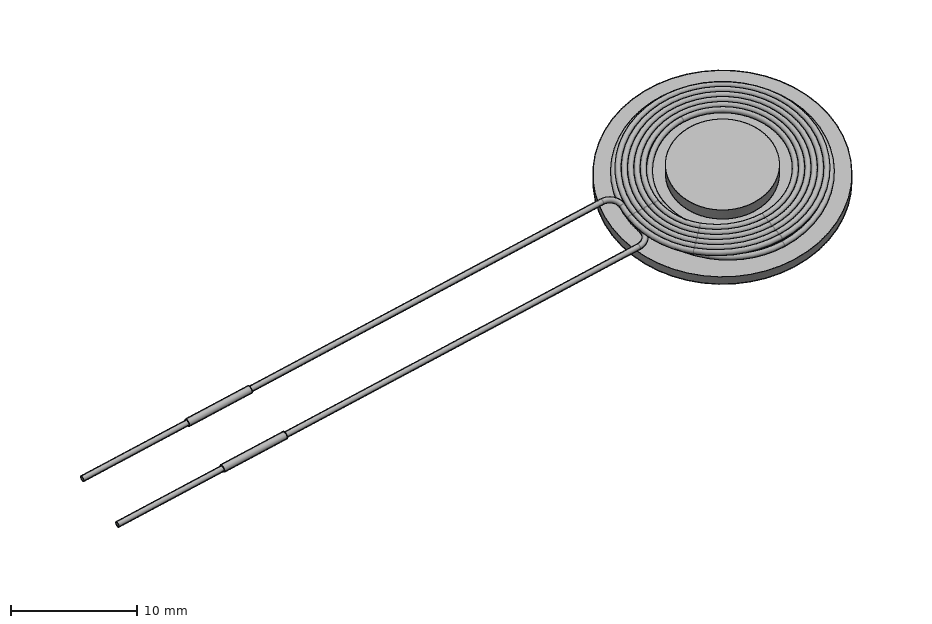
import cadquery as cq
import math

plate_diameter = 20.5
plate_radius = plate_diameter / 2
plate_thickness = 1.0
boss_radius = 4.5
total_height = 2.15

wire_diameter = 0.5
turn_pitch = 0.5
lower_ring_count = 5
upper_ring_count = 6
lower_outer_radius = 8.6
upper_outer_radius = 8.3
lower_inner_radius = lower_outer_radius - (lower_ring_count - 1) * turn_pitch
upper_inner_radius = upper_outer_radius - (upper_ring_count - 1) * turn_pitch
lower_z = plate_thickness + wire_diameter / 2
upper_z = lower_z + turn_pitch

lead_x = 2.5
lead_bend_radius = 1.1
overall_length = 69.5
lead_end_y = plate_radius - overall_length
sleeve_diameter = 0.66
sleeve_length = 6.0
sleeve_to_end = 10.0

PLUS_X = 0
MINUS_Y = -90
MINUS_X = -180
FULL_TURN = 360
CLIMB_STEPS = 6


def polar(radius, angle, z):
    turn = math.radians(angle)
    return cq.Vector(radius * math.cos(turn), radius * math.sin(turn), z)


def ring_arc(radius, z, start, end):
    """Arc about the coil axis from one angle to another."""
    middle = (start + end) / 2
    return cq.Edge.makeThreePointArc(
        polar(radius, start, z), polar(radius, middle, z), polar(radius, end, z)
    )


def quadrant_step(x_radius, y_radius, z):
    """Two tangent arcs from +X clockwise to -Y, square to both axes, meeting halfway."""
    offset = (x_radius - y_radius) / (2 - math.sqrt(2))
    x_centre = cq.Vector(offset, 0, 0)
    y_centre = cq.Vector(0, offset, 0)
    meeting = (PLUS_X + MINUS_Y) / 2
    x_arc = ring_arc(x_radius - offset, z, PLUS_X, meeting).moved(cq.Location(x_centre))
    y_arc = ring_arc(y_radius + offset, z, meeting, MINUS_Y).moved(cq.Location(y_centre))
    return [x_arc, y_arc]


def climbing_arc(radius, start_z, end_z, start, end):
    """Clockwise arc that climbs smoothly, level at both ends."""
    points = []
    shares = [step / CLIMB_STEPS for step in range(CLIMB_STEPS + 1)]
    for share in shares:
        climbed = (1 - math.cos(math.pi * share)) / 2
        z = start_z + (end_z - start_z) * climbed
        points.append(polar(radius, start + (end - start) * share, z))
    arc_length = radius * math.radians(start - end)
    end_tangents = [polar(arc_length, start - 90, 0), polar(arc_length, end - 90, 0)]
    return cq.Edge.makeSpline(points, tangents=end_tangents, parameters=shares, scale=False)


def lead_bend_centre(ring_radius):
    """Centre of the +X lead's bend, which touches the ring from outside."""
    x = lead_x - lead_bend_radius
    return x, -math.sqrt((ring_radius + lead_bend_radius) ** 2 - x**2)


def lead_edges(ring_radius, z, side):
    """Straight lead and bend, from the free end to the ring; side is +1 or -1 along X."""
    centre_x, centre_y = lead_bend_centre(ring_radius)
    ring_angle = math.atan2(centre_y, centre_x)
    middle_angle = (ring_angle + math.pi) / 2
    bend_start = cq.Vector(side * lead_x, centre_y, z)
    bend_middle = cq.Vector(
        side * (centre_x + lead_bend_radius * math.cos(middle_angle)),
        centre_y + lead_bend_radius * math.sin(middle_angle),
        z,
    )
    bend_end = cq.Vector(
        side * ring_radius * math.cos(ring_angle), ring_radius * math.sin(ring_angle), z
    )
    straight = cq.Edge.makeLine(cq.Vector(side * lead_x, lead_end_y, z), bend_start)
    return [straight, cq.Edge.makeThreePointArc(bend_start, bend_middle, bend_end)]


def lead_angle(ring_radius):
    """Angle, measured from -Y, at which a lead meets its ring."""
    centre_x, centre_y = lead_bend_centre(ring_radius)
    return math.degrees(math.atan2(centre_x, -centre_y))


def lower_layer():
    """From the +X lead inwards: rings from -Y clockwise to +X, with a step inwards between rings."""
    edges = lead_edges(lower_outer_radius, lower_z, 1)
    start = MINUS_Y + lead_angle(lower_outer_radius)
    edges.append(ring_arc(lower_outer_radius, lower_z, start, PLUS_X - FULL_TURN))
    for ring in range(1, lower_ring_count):
        radius = lower_outer_radius - ring * turn_pitch
        edges += quadrant_step(radius + turn_pitch, radius, lower_z)
        edges.append(ring_arc(radius, lower_z, MINUS_Y, PLUS_X - FULL_TURN))
    return edges


def innermost_ring():
    """Step in from the lower layer, climb to the upper layer, then step out to its second ring."""
    radius = upper_inner_radius
    return [
        *quadrant_step(lower_inner_radius, radius, lower_z),
        climbing_arc(radius, lower_z, upper_z, MINUS_Y, MINUS_X),
        ring_arc(radius, upper_z, MINUS_X, PLUS_X - FULL_TURN),
        *quadrant_step(radius, radius + turn_pitch, upper_z),
    ]


def upper_layer():
    """From the second ring outwards to the -X lead, with a step outwards after each ring."""
    edges = []
    for ring in reversed(range(upper_ring_count - 1)):
        radius = upper_outer_radius - ring * turn_pitch
        edges.append(ring_arc(radius, upper_z, MINUS_Y, PLUS_X - FULL_TURN))
        edges += quadrant_step(radius, radius + turn_pitch, upper_z)
    exit_radius = upper_outer_radius + turn_pitch
    exit_angle = MINUS_Y - lead_angle(exit_radius)
    edges.append(ring_arc(exit_radius, upper_z, MINUS_Y, exit_angle))
    straight, bend = lead_edges(exit_radius, upper_z, -1)
    return edges + [bend, straight]


def make_carrier():
    plate = cq.Workplane("XY").circle(plate_radius).extrude(plate_thickness)
    return plate.union(cq.Workplane("XY").circle(boss_radius).extrude(total_height))


def lead_sleeve(x, z):
    """Thicker stretch of a lead."""
    start_y = lead_end_y + sleeve_to_end
    profile = cq.Workplane("XZ", origin=(x, start_y, z)).circle(sleeve_diameter / 2)
    return profile.extrude(-sleeve_length)


def make_coil():
    path = cq.Wire.assembleEdges(lower_layer() + innermost_ring() + upper_layer())
    profile = cq.Workplane("XZ", origin=(lead_x, lead_end_y, lower_z)).circle(wire_diameter / 2)
    wire = profile.sweep(cq.Workplane(path))
    return wire.union(lead_sleeve(lead_x, lower_z)).union(lead_sleeve(-lead_x, upper_z))


carrier = make_carrier()
coil = make_coil()
result = cq.Compound.makeCompound([carrier.solids().val(), coil.solids().val()])